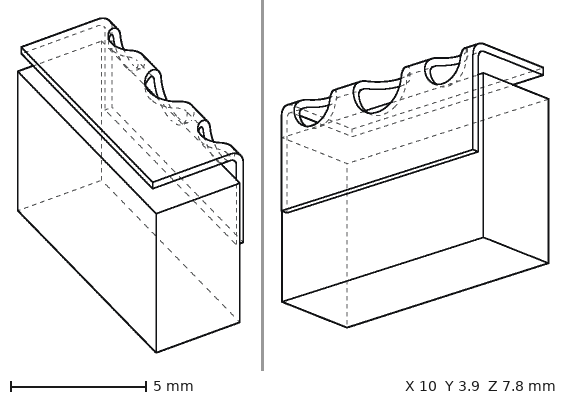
import cadquery as cq
import math

body_width = 10.0
body_depth = 3.6
body_height = 6.5

overall_height = 7.8
sheet_thickness = 0.3
cover_width = 9.5
inner_bend_radius = 0.3
leg_bottom = 3.45

side_hole_radius = 0.89
center_hole_radius = 1.19
side_hole_offset = 3.24
hole_arc_offset = 0.58
bend_sections = 13
cut_margin = 0.1

front_y = -body_depth / 2
back_y = body_depth / 2
outer_bend_radius = inner_bend_radius + sheet_thickness
middle_bend_radius = inner_bend_radius + sheet_thickness / 2
bend_y = back_y + sheet_thickness - outer_bend_radius
bend_z = overall_height - outer_bend_radius
bend_arc_length = middle_bend_radius * math.pi / 2


def make_cover():
    """L-shaped sheet with a quarter-round bend."""
    diagonal = math.sqrt(0.5)
    outer_y = back_y + sheet_thickness
    profile = (
        cq.Workplane("YZ", origin=(-cover_width / 2, 0, 0))
        .moveTo(front_y, overall_height)
        .lineTo(bend_y, overall_height)
        .threePointArc(
            (bend_y + outer_bend_radius * diagonal, bend_z + outer_bend_radius * diagonal),
            (outer_y, bend_z),
        )
        .lineTo(outer_y, leg_bottom)
        .lineTo(back_y, leg_bottom)
        .lineTo(back_y, bend_z)
        .threePointArc(
            (bend_y + inner_bend_radius * diagonal, bend_z + inner_bend_radius * diagonal),
            (bend_y, bend_z + inner_bend_radius),
        )
        .lineTo(front_y, bend_z + inner_bend_radius)
        .close()
    )
    return profile.extrude(cover_width)


def bend_section(x, hole_radius, angle):
    """Radial rectangle of the hole at an angle measured from the roof side of the bend."""
    distance = middle_bend_radius * angle - hole_arc_offset
    half_width = math.sqrt(hole_radius**2 - distance**2)
    corners = []
    for side, radius in (
        (-1, inner_bend_radius - cut_margin),
        (1, inner_bend_radius - cut_margin),
        (1, outer_bend_radius + cut_margin),
        (-1, outer_bend_radius + cut_margin),
    ):
        y = bend_y + radius * math.sin(angle)
        z = bend_z + radius * math.cos(angle)
        corners.append(cq.Vector(x + side * half_width, y, z))
    return cq.Wire.makePolygon(corners, close=True)


def make_bent_hole(x, hole_radius):
    """Cutters for one round hole that wraps from the roof over the bend into the leg."""
    cut_depth = sheet_thickness + 2 * cut_margin
    hole_size = 2 * hole_radius
    clip_box = cq.Workplane("XY").box(hole_size, hole_size, hole_size)

    roof_center_y = bend_y + hole_arc_offset
    roof_cut_z = overall_height - sheet_thickness - cut_margin
    roof_cylinder = (
        cq.Workplane("XY", origin=(x, roof_center_y, roof_cut_z))
        .circle(hole_radius)
        .extrude(cut_depth)
    )
    roof_part = roof_cylinder.intersect(clip_box.translate((x, bend_y - hole_radius, overall_height)))

    leg_center_z = bend_z + bend_arc_length - hole_arc_offset
    leg_cut_y = back_y + sheet_thickness + cut_margin
    leg_cylinder = (
        cq.Workplane("XZ", origin=(x, leg_cut_y, leg_center_z))
        .circle(hole_radius)
        .extrude(cut_depth)
    )
    leg_part = leg_cylinder.intersect(clip_box.translate((x, back_y, bend_z - hole_radius)))

    sections = [
        bend_section(x, hole_radius, math.pi / 2 * i / (bend_sections - 1))
        for i in range(bend_sections)
    ]
    bend_part = cq.Workplane(cq.Solid.makeLoft(sections))
    return [roof_part, bend_part, leg_part]


body = cq.Workplane("XY").box(body_width, body_depth, body_height, centered=(True, True, False))

cover = make_cover()
for hole_x, hole_radius in (
    (-side_hole_offset, side_hole_radius),
    (0, center_hole_radius),
    (side_hole_offset, side_hole_radius),
):
    for cutter in make_bent_hole(hole_x, hole_radius):
        cover = cover.cut(cutter)

result = body.union(cover)